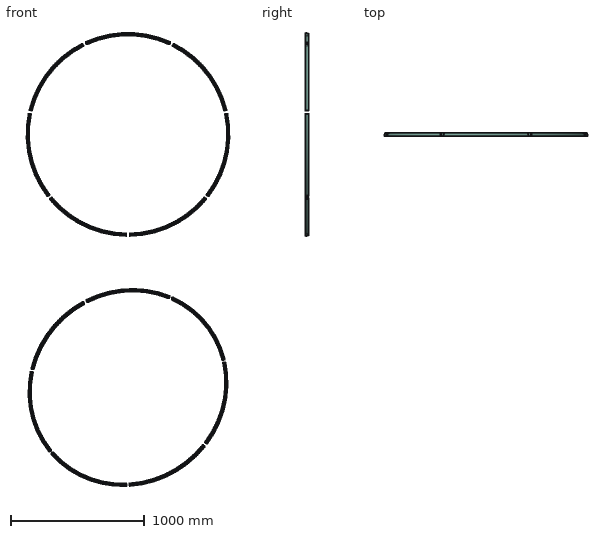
import cadquery as cq
import math

ring_diameter = 1520.0
segment_count = 7
gap_angle = 2.0

section_width = 29.0
section_depth = 20.0
bead_radius = 5.0
bead_offset = 3.5
shoulder_radius = 10.0
flank_radius = 26.0
tail_taper_length = 3.6
tail_thickness = 2.5

pitch_angle = 360 / segment_count
segment_angle = pitch_angle - gap_angle
half_depth = section_depth / 2
middle_radius = ring_diameter / 2 - half_depth
front_y = -section_width / 2
back_y = section_width / 2


def arc_point(center, radius, angle):
    """Point (offset from the middle line, y) of an arc; the angle runs from outward toward -Y."""
    return (center[0] + radius * math.cos(angle), center[1] - radius * math.sin(angle))


bead_center = (bead_offset, front_y + bead_radius)
groove_angle = math.acos(-bead_offset / bead_radius)

shoulder_center_offset = half_depth - shoulder_radius
rim_angle = math.acos((bead_offset - shoulder_center_offset) / (shoulder_radius - bead_radius))
crest_y = bead_center[1] + (shoulder_radius - bead_radius) * math.sin(rim_angle)
shoulder_center = (shoulder_center_offset, crest_y)

flank_center = (half_depth - flank_radius, crest_y)
taper_y = back_y - tail_taper_length
flank_end_angle = -math.asin((taper_y - crest_y) / flank_radius)

groove = arc_point(bead_center, bead_radius, groove_angle)
bead_middle = arc_point(bead_center, bead_radius, (groove_angle + rim_angle) / 2)
rim = arc_point(bead_center, bead_radius, rim_angle)
shoulder_middle = arc_point(shoulder_center, shoulder_radius, rim_angle / 2)
crest = (half_depth, crest_y)
flank_middle = arc_point(flank_center, flank_radius, flank_end_angle / 2)
flank_end = arc_point(flank_center, flank_radius, flank_end_angle)
tail_corner = (tail_thickness / 2, back_y)


def outer(point):
    """Place a section point on the outer half of the ring section."""
    return (middle_radius + point[0], point[1])


def inner(point):
    """Place a section point on the mirrored, inner half of the ring section."""
    return (middle_radius - point[0], point[1])


def make_section():
    """Closed section in the XY plane, with X as the distance from the ring axis."""
    return (
        cq.Workplane("XY")
        .moveTo(*outer(groove))
        .threePointArc(outer(bead_middle), outer(rim))
        .threePointArc(outer(shoulder_middle), outer(crest))
        .threePointArc(outer(flank_middle), outer(flank_end))
        .lineTo(*outer(tail_corner))
        .lineTo(*inner(tail_corner))
        .lineTo(*inner(flank_end))
        .threePointArc(inner(flank_middle), inner(crest))
        .threePointArc(inner(shoulder_middle), inner(rim))
        .threePointArc(inner(bead_middle), inner(groove))
        .close()
    )


def make_segment(middle_angle):
    """Ring segment centred on an angle that is measured from +X toward +Z."""
    segment = make_section().revolve(segment_angle, (0, 0, 0), (0, 1, 0))
    return segment.rotate((0, 0, 0), (0, 1, 0), -middle_angle - segment_angle / 2)


top_angle = 90
segments = [make_segment(top_angle + i * pitch_angle) for i in range(segment_count)]

result = cq.Compound.makeCompound([segment.val() for segment in segments])